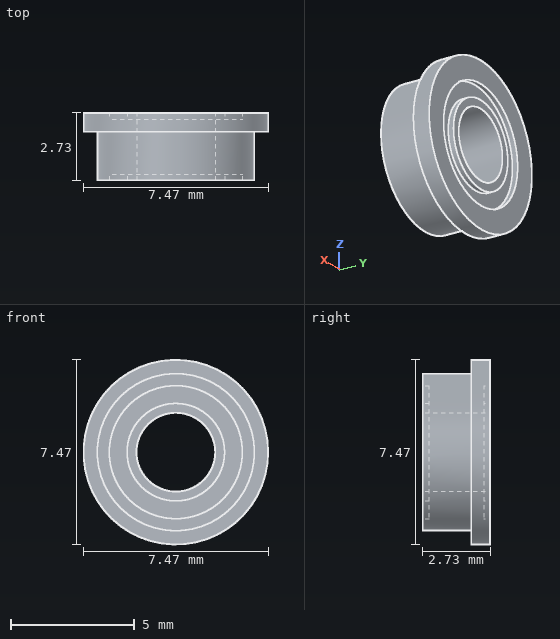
import cadquery as cq

flange_diameter = 7.47
body_diameter = 6.35
groove_outer_diameter = 5.38
groove_inner_diameter = 3.945
bore_diameter = 3.175
total_width = 2.73
flange_width = 0.77
groove_depth = 0.255

front_y = -total_width / 2
back_y = total_width / 2


def ring(outer_diameter, inner_diameter, start_y, width):
    """Plain ring about the Y axis, extending toward +Y from start_y."""
    return (
        cq.Workplane("XZ", origin=(0, start_y, 0))
        .circle(outer_diameter / 2)
        .circle(inner_diameter / 2)
        .extrude(-width)
    )


body = ring(body_diameter, bore_diameter, front_y, total_width)
flange = ring(flange_diameter, bore_diameter, back_y - flange_width, flange_width)
result = body.union(flange)

for groove_start_y in (front_y, back_y - groove_depth):
    groove = ring(groove_outer_diameter, groove_inner_diameter, groove_start_y, groove_depth)
    result = result.cut(groove)